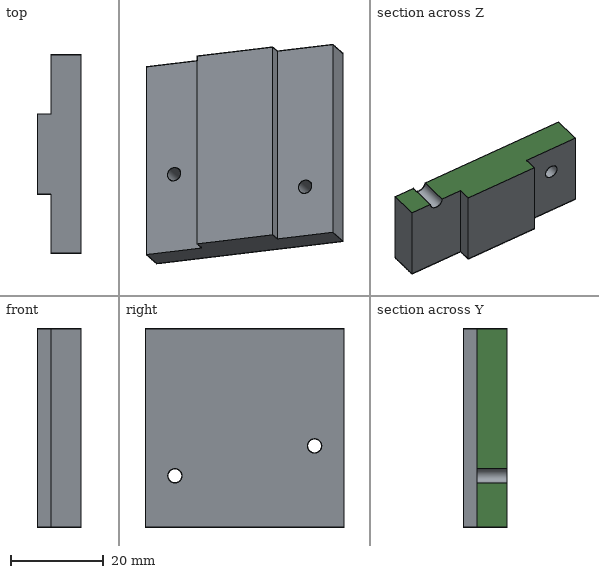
import cadquery as cq

plate_thickness = 6.5
plate_width = 42.91
plate_height = 42.9
rib_width = 17.4
rib_projection = 2.9

hole_diameter = 3.0
upper_hole_z = 17.6
lower_hole_z = 11.15

flange_width = (plate_width - rib_width) / 2
hole_y = (rib_width + flange_width) / 2
hole_positions = [(hole_y, upper_hole_z), (-hole_y, lower_hole_z)]


def make_plate():
    """Flat plate with its rib-side face on X = 0 and its bottom on Z = 0."""
    return cq.Workplane("XY").box(
        plate_thickness, plate_width, plate_height, centered=(False, True, False)
    )


def make_rib():
    """Full-height raised rib standing on the -X face of the plate."""
    rib = cq.Workplane("XY").box(
        rib_projection, rib_width, plate_height, centered=(False, True, False)
    )
    return rib.translate((-rib_projection, 0, 0))


def make_hole_cutters():
    """Cylinders along X that pass through the plate thickness."""
    return (
        cq.Workplane("YZ")
        .pushPoints(hole_positions)
        .circle(hole_diameter / 2)
        .extrude(plate_thickness)
    )


result = make_plate().union(make_rib()).cut(make_hole_cutters())